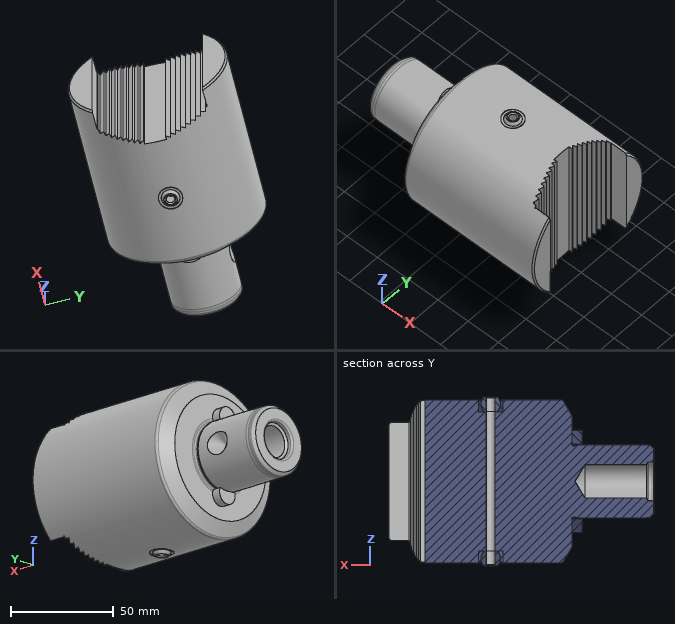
import cadquery as cq
import math

total_length = 129.6
body_radius = 80.0 / 2
shoulder_x = 39.8
shoulder_radius = 31.9
shoulder_cone_angle = 120.0
shoulder_edge_radius = 1.7
fork_end_chamfer = 0.9

shank_radius = 36.0 / 2
shank_chamfer = 1.8
shank_chamfer_blend_radius = 0.8
lead_radius = 17.9
lead_start_x = 3.2
lead_end_x = 4.8
undercut_start_x = 37.3
undercut_floor_x = 38.5
undercut_floor_radius = 17.5
undercut_face_radius = 19.6
undercut_face_depth = 0.3
undercut_corner_radius = 0.8

bore_mouth_rounding = 1.0
bore_entry_radius = 9.5
bore_entry_end_x = 2.9
bore_entry_cone_angle = 120.0
bore_radius = 8.0
bore_depth = 33.7
drill_point_angle = 118.0

dimple_x = 24.4
dimple_radius = 6.7
dimple_cone_angle = 90.0

slot_half_width = 27.6
slot_floor_x = 111.8
tooth_count = 9
inner_tip_x = 113.9
inner_tip_y = 5.5
outer_tip_x = 119.6
outer_tip_y = 27.0
tooth_root_back = 1.5
tooth_root_rise = 2.2

key_length = 4.8
key_radius = 5.5
key_crown_z = 25.0
key_clearance_radius = 18.3

nozzle_x = 79.7
nozzle_top_z = 82.5 / 2
nozzle_ball_radius = 4.9
nozzle_flat_radius = 3.4
nozzle_bore_chamfer = 0.6
channel_radius = 2.1
seat_radius = 6.0
seat_top_z = 39.5

nozzle_half_height = math.sqrt(nozzle_ball_radius**2 - nozzle_flat_radius**2)
nozzle_center_z = nozzle_top_z - nozzle_half_height
nozzle_bottom_z = nozzle_center_z - nozzle_half_height


def revolve_about_x(points):
    """Solid of revolution about the X axis from a closed (x, radius) outline."""
    return cq.Workplane("XY").polyline(points).close().revolve(360, (0, 0, 0), (1, 0, 0))


def cone_length(radius_change, included_angle):
    """Length along its axis over which a cone changes radius by the given amount."""
    return radius_change / math.tan(math.radians(included_angle / 2))


def edges_at(x):
    """Selector for the circular edges that lie in the plane at the given X."""
    tolerance = 0.1
    reach = body_radius + 1.3
    low_corner = (x - tolerance, -reach, -reach)
    high_corner = (x + tolerance, reach, reach)
    return cq.selectors.BoxSelector(low_corner, high_corner, boundingbox=True)


def z_cylinder(radius, bottom, top):
    return cq.Workplane("XY", origin=(nozzle_x, 0, bottom)).circle(radius).extrude(top - bottom)


def nozzle_ball():
    return cq.Workplane("XY", origin=(nozzle_x, 0, nozzle_center_z)).sphere(nozzle_ball_radius)


def on_both_sides(solid):
    """The solid and its copy turned half a turn about the X axis."""
    return [solid.rotate((0, 0, 0), (1, 0, 0), angle) for angle in (0, 180)]


def make_blank():
    cone_end_x = shoulder_x + cone_length(body_radius - shoulder_radius, shoulder_cone_angle)
    body = revolve_about_x([
        (shoulder_x, 0),
        (shoulder_x, shoulder_radius),
        (cone_end_x, body_radius),
        (total_length, body_radius),
        (total_length, 0),
    ])
    body = body.faces(">X").chamfer(fork_end_chamfer)
    body = body.edges(edges_at(cone_end_x)).fillet(shoulder_edge_radius)
    shank = revolve_about_x([
        (0, 0),
        (0, lead_radius - shank_chamfer),
        (shank_chamfer, lead_radius),
        (lead_start_x, lead_radius),
        (lead_end_x, shank_radius),
        (shoulder_x, shank_radius),
        (shoulder_x, 0),
    ])
    shank = shank.edges(edges_at(shank_chamfer)).fillet(shank_chamfer_blend_radius)
    return body.union(shank)


def make_undercut():
    """Relief ring where the shank meets the shoulder, with a rounded inner corner."""
    corner_end_x = shoulder_x + undercut_face_depth
    corner_center_x = corner_end_x - undercut_corner_radius
    corner_center_radius = undercut_floor_radius + undercut_corner_radius
    corner_offset = undercut_corner_radius * math.sqrt(0.5)
    outline = (
        cq.Workplane("XY")
        .moveTo(undercut_start_x, shank_radius)
        .lineTo(undercut_floor_x, undercut_floor_radius)
        .lineTo(corner_center_x, undercut_floor_radius)
        .threePointArc(
            (corner_center_x + corner_offset, corner_center_radius - corner_offset),
            (corner_end_x, corner_center_radius),
        )
        .lineTo(shoulder_x, undercut_face_radius)
        .lineTo(undercut_start_x, undercut_face_radius)
        .close()
    )
    return outline.revolve(360, (0, 0, 0), (1, 0, 0))


def make_bore():
    entry_cone_end_x = bore_entry_end_x + cone_length(bore_entry_radius - bore_radius, bore_entry_cone_angle)
    tip_x = bore_depth + cone_length(bore_radius, drill_point_angle)
    return revolve_about_x([
        (0, 0),
        (0, bore_entry_radius),
        (bore_entry_end_x, bore_entry_radius),
        (entry_cone_end_x, bore_radius),
        (bore_depth, bore_radius),
        (tip_x, 0),
    ])


def make_dimple():
    apex_y = shank_radius - cone_length(dimple_radius, dimple_cone_angle)
    outline = [
        (dimple_x, apex_y),
        (dimple_x + dimple_radius, shank_radius),
        (dimple_x, shank_radius),
    ]
    profile = cq.Workplane("XY").polyline(outline).close()
    return profile.revolve(360, (dimple_x, 0, 0), (dimple_x, 1, 0))


def make_fork_slot():
    """Slot through the fork along Z, its floor sloping outward in serrations on each side."""
    tooth_pitch_x = (outer_tip_x - inner_tip_x) / (tooth_count - 1)
    tooth_pitch_y = (outer_tip_y - inner_tip_y) / (tooth_count - 1)
    flank = [(slot_floor_x, inner_tip_y)]
    for i in range(tooth_count):
        tip_x = inner_tip_x + i * tooth_pitch_x
        tip_y = inner_tip_y + i * tooth_pitch_y
        flank.append((tip_x, tip_y))
        if i < tooth_count - 1:
            flank.append((tip_x - tooth_root_back, tip_y + tooth_root_rise))
    flank.append((outer_tip_x, slot_half_width))
    flank.append((total_length, slot_half_width))
    mirrored = [(x, -y) for x, y in reversed(flank)]
    return cq.Workplane("XY").polyline(flank + mirrored).close().extrude(body_radius, both=True)


def make_housing():
    housing = make_blank().cut(make_undercut()).cut(make_bore())
    bore_mouth = housing.faces("<X").edges(cq.selectors.RadiusNthSelector(0))
    housing = bore_mouth.fillet(bore_mouth_rounding)
    housing = housing.cut(make_dimple()).cut(make_fork_slot())
    housing = housing.cut(z_cylinder(channel_radius, -body_radius, body_radius))
    for pocket in on_both_sides(z_cylinder(seat_radius, nozzle_bottom_z, body_radius)):
        housing = housing.cut(pocket)
    return housing


def make_key():
    """Cylindrical key standing on the shoulder, hollowed underneath to clear the shank."""
    key_plane = cq.Workplane("YZ", origin=(shoulder_x - key_length, 0, 0))
    key = key_plane.center(0, key_crown_z - key_radius).circle(key_radius).extrude(key_length)
    clearance = key_plane.circle(key_clearance_radius).extrude(key_length)
    return key.cut(clearance)


def make_nozzle():
    nozzle = nozzle_ball().intersect(z_cylinder(nozzle_ball_radius, nozzle_bottom_z, nozzle_top_z))
    nozzle = nozzle.cut(z_cylinder(channel_radius, nozzle_bottom_z, nozzle_top_z))
    mouth_edge = nozzle.faces(">Z").edges(cq.selectors.RadiusNthSelector(0))
    return mouth_edge.chamfer(nozzle_bore_chamfer)


def make_seat_ring():
    return z_cylinder(seat_radius, nozzle_bottom_z, seat_top_z).cut(nozzle_ball())


housing = make_housing()
keys = on_both_sides(make_key())
nozzles = on_both_sides(make_nozzle())
seat_rings = on_both_sides(make_seat_ring())

result = cq.Compound.makeCompound(
    [housing.val()] + [body.val() for body in keys + nozzles + seat_rings]
)